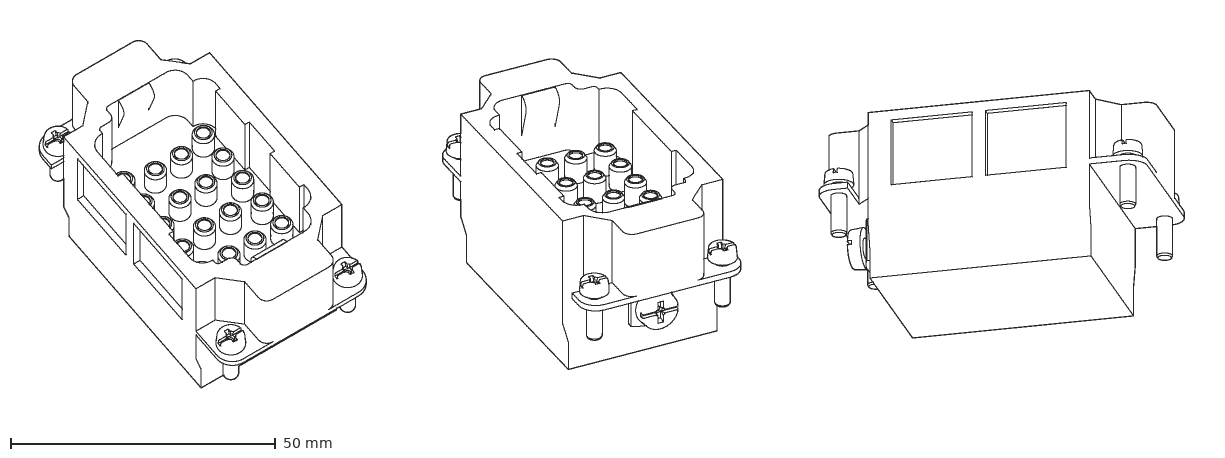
import cadquery as cq
import math

LENGTH = 64.0
WIDTH = 33.8
HEIGHT = 33.2
END_X = LENGTH / 2
SIDE_Y = WIDTH / 2

BODY_LENGTH = 43.2
BODY_END_X = BODY_LENGTH / 2
BASE_WIDTH = 31.35
TAPER_BOTTOM_Z = 6.0
TAPER_TOP_Z = 10.55

TOWER_SIDE_Y = 8.45
TOWER_NECK_X = 25.6
TOWER_FLARE = TOWER_NECK_X - BODY_END_X
TOWER_EDGE_RADIUS = 2.0
FLANGE_BOTTOM_Z = 18.25
FLANGE_THICKNESS = 1.2
FLANGE_TOP_Z = FLANGE_BOTTOM_Z + FLANGE_THICKNESS
FLANGE_CORNER_RADIUS = 3.6

WINDOW_LENGTH = 15.8
WINDOW_HEIGHT = 13.2
WINDOW_GAP = 2.55
WINDOW_TOP_MARGIN = 2.0
WINDOW_DEPTH = 1.5

CAVITY_FLOOR_Z = 18.5
CAVITY_END_X = 22.6
CAVITY_STEP_X = 19.4
CAVITY_INNER_X = 18.0
CAVITY_SIDE_Y = 13.7
BACK_SHOULDER_Y = 10.5
BACK_SHOULDER_RADIUS = 3.0
CAVITY_CORNER_RADIUS = 3.0
FRONT_STEP_Y = -6.65
FRONT_SHOULDER_Y = -10.4
STEP_OUTER_RADIUS = 0.9
STEP_INNER_RADIUS = 1.35
SHOULDER_RADIUS = 0.7

RIB_DEPTH = 1.0
BACK_RIB_LENGTH = 9.55
BACK_RIB_X = 8.9
FRONT_RIB_LENGTH = 16.5

NOSE_WIDTH = 7.05
NOSE_REACH = 1.85
NOSE_BOTTOM_Z = 24.3
NOSE_CREST_Z = 30.4
NOSE_TOP_Z = 33.1

PIN_DIAMETER = 4.2
PIN_TIP_DIAMETER = 3.3
PIN_RECESS_DIAMETER = 2.6
PIN_RECESS_DEPTH = 0.3
PIN_TOP_Z = 23.55
PIN_CHAMFER_HEIGHT = 0.7
OUTER_ROW_Y = 9.2
OUTER_ROW_PITCH = 6.4
OUTER_ROW_COUNT = 5
INNER_ROW_Y = 3.0
INNER_ROW_PITCH = 8.0
INNER_ROW_COUNT = 4
LAST_PIN_X = 12.8

SCREW_X = 28.2
SCREW_Y = 13.5
SCREW_BOTTOM_Z = 10.3
SCREW_DIAMETER = 3.0
SCREW_TIP_DIAMETER = 2.6
SCREW_TIP_HEIGHT = 0.4
SCREW_TOP_Z = 22.9
SCREW_HEAD_HEIGHT = 2.4
SCREW_HEAD_DIAMETER = 5.6
SCREW_HEAD_TOP_DIAMETER = 5.25
CROSS_LENGTH = 3.0
CROSS_WIDTH = 0.9

EARTH_Z = 12.6
EARTH_STEM_DIAMETER = 4.0
EARTH_HEAD_DIAMETER = 8.0
EARTH_HEAD_TOP_DIAMETER = 7.55
EARTH_HEAD_BACK_X = -26.6
EARTH_HEAD_HEIGHT = 2.6
EARTH_CROSS_LENGTH = 4.6
EARTH_CROSS_WIDTH = 1.1
PLATE_SIZE = 8.5
PLATE_BACK_X = -24.1
PLATE_THICKNESS = 1.1
PLATE_BOW = 1.0

SCREW_RIM_HEIGHT = 0.4
SCREW_EDGE_RADIUS = 0.3
SLOT_WIDTH = 0.8
SLOT_DEPTH = 0.9
ARM_DEPTH = 1.15
ARM_END_SLOPE = 0.3
CONE_DEPTH = 1.55
CONE_DIAMETER = 1.9
CONE_BOTTOM_DIAMETER = 1.1


def block(x0, x1, y0, y1, z0, z1):
    """Axis-aligned box between two corners."""
    return cq.Workplane("XY").box(x1 - x0, y1 - y0, z1 - z0, centered=False).translate((x0, y0, z0))


def make_housing():
    """Housing with a narrowed base, constant along X."""
    return (
        cq.Workplane("YZ", origin=(-BODY_END_X, 0, 0))
        .polyline([
            (-BASE_WIDTH / 2, 0),
            (BASE_WIDTH / 2, 0),
            (BASE_WIDTH / 2, TAPER_BOTTOM_Z),
            (SIDE_Y, TAPER_TOP_Z),
            (SIDE_Y, HEIGHT),
            (-SIDE_Y, HEIGHT),
            (-SIDE_Y, TAPER_TOP_Z),
            (-BASE_WIDTH / 2, TAPER_BOTTOM_Z),
        ])
        .close()
        .extrude(BODY_LENGTH)
    )


def make_tower(side):
    """End tower that flares out into the housing; side is -1 or +1 along X."""
    flare_y = TOWER_SIDE_Y + TOWER_FLARE
    tower = (
        cq.Workplane("XY", origin=(0, 0, FLANGE_BOTTOM_Z))
        .polyline([
            (side * BODY_END_X, -flare_y),
            (side * TOWER_NECK_X, -TOWER_SIDE_Y),
            (side * END_X, -TOWER_SIDE_Y),
            (side * END_X, TOWER_SIDE_Y),
            (side * TOWER_NECK_X, TOWER_SIDE_Y),
            (side * BODY_END_X, flare_y),
        ])
        .close()
        .extrude(HEIGHT - FLANGE_BOTTOM_Z)
    )
    outer_face = ">X" if side > 0 else "<X"
    return tower.faces(outer_face).edges("|Z").fillet(TOWER_EDGE_RADIUS)


def make_flange(side, inner_x):
    """Flange across the full width, from inner_x out to the end of the part."""
    x0, x1 = sorted((side * inner_x, side * END_X))
    flange = block(x0, x1, -SIDE_Y, SIDE_Y, FLANGE_BOTTOM_Z, FLANGE_TOP_Z)
    outer_face = ">X" if side > 0 else "<X"
    return flange.faces(outer_face).edges("|Z").fillet(FLANGE_CORNER_RADIUS)


def make_windows():
    """Two label windows side by side on the -Y side."""
    top_z = HEIGHT - WINDOW_TOP_MARGIN
    bottom_z = top_z - WINDOW_HEIGHT
    back_y = -SIDE_Y + WINDOW_DEPTH
    windows = cq.Workplane("XY")
    for center_x in (-(WINDOW_LENGTH + WINDOW_GAP) / 2, (WINDOW_LENGTH + WINDOW_GAP) / 2):
        x0 = center_x - WINDOW_LENGTH / 2
        windows = windows.add(block(x0, x0 + WINDOW_LENGTH, -SIDE_Y, back_y, bottom_z, top_z))
    return windows.combine()


def make_cavity():
    """Contact cavity with stepped corners, less the coding ribs on its long walls."""
    depth = HEIGHT - CAVITY_FLOOR_Z
    shoulder_x = CAVITY_END_X - BACK_SHOULDER_RADIUS
    half = (
        cq.Workplane("XY", origin=(0, 0, CAVITY_FLOOR_Z))
        .moveTo(0, CAVITY_SIDE_Y)
        .lineTo(CAVITY_INNER_X - CAVITY_CORNER_RADIUS, CAVITY_SIDE_Y)
        .radiusArc((CAVITY_INNER_X, CAVITY_SIDE_Y - CAVITY_CORNER_RADIUS), CAVITY_CORNER_RADIUS)
        .lineTo(CAVITY_INNER_X, BACK_SHOULDER_Y)
        .lineTo(shoulder_x, BACK_SHOULDER_Y)
        .radiusArc((CAVITY_END_X, BACK_SHOULDER_Y - BACK_SHOULDER_RADIUS), BACK_SHOULDER_RADIUS)
        .lineTo(CAVITY_END_X, FRONT_STEP_Y + STEP_OUTER_RADIUS)
        .radiusArc((CAVITY_END_X - STEP_OUTER_RADIUS, FRONT_STEP_Y), STEP_OUTER_RADIUS)
        .lineTo(CAVITY_STEP_X + STEP_INNER_RADIUS, FRONT_STEP_Y)
        .radiusArc((CAVITY_STEP_X, FRONT_STEP_Y - STEP_INNER_RADIUS), -STEP_INNER_RADIUS)
        .lineTo(CAVITY_STEP_X, FRONT_SHOULDER_Y + SHOULDER_RADIUS)
        .radiusArc((CAVITY_STEP_X - SHOULDER_RADIUS, FRONT_SHOULDER_Y), SHOULDER_RADIUS)
        .lineTo(CAVITY_INNER_X, FRONT_SHOULDER_Y)
        .lineTo(CAVITY_INNER_X, -CAVITY_SIDE_Y + CAVITY_CORNER_RADIUS)
        .radiusArc((CAVITY_INNER_X - CAVITY_CORNER_RADIUS, -CAVITY_SIDE_Y), CAVITY_CORNER_RADIUS)
        .lineTo(0, -CAVITY_SIDE_Y)
        .close()
        .extrude(depth)
    )
    cavity = half.union(half.mirror("YZ"))

    rib_y = CAVITY_SIDE_Y - RIB_DEPTH
    for center_x in (-BACK_RIB_X, BACK_RIB_X):
        x0 = center_x - BACK_RIB_LENGTH / 2
        x1 = center_x + BACK_RIB_LENGTH / 2
        cavity = cavity.cut(block(x0, x1, rib_y, CAVITY_SIDE_Y, CAVITY_FLOOR_Z, HEIGHT))
    x1 = FRONT_RIB_LENGTH / 2
    return cavity.cut(block(-x1, x1, -CAVITY_SIDE_Y, -rib_y, CAVITY_FLOOR_Z, HEIGHT))


def make_nose(side):
    """Locking nose: sloped underside, rounded top running back into the end wall."""
    wall_x = side * CAVITY_END_X
    crest_x = side * (CAVITY_END_X - NOSE_REACH)
    arc_offset = math.sqrt(0.5)
    round_middle = (
        wall_x - side * NOSE_REACH * arc_offset,
        NOSE_CREST_Z + (NOSE_TOP_Z - NOSE_CREST_Z) * arc_offset,
    )
    return (
        cq.Workplane("XZ")
        .moveTo(wall_x, NOSE_BOTTOM_Z)
        .lineTo(crest_x, NOSE_CREST_Z)
        .threePointArc(round_middle, (wall_x, NOSE_TOP_Z))
        .close()
        .extrude(NOSE_WIDTH / 2, both=True)
    )


def make_pin():
    """Contact pin on the Z axis with a coned, slightly recessed tip."""
    shoulder_z = PIN_TOP_Z - PIN_CHAMFER_HEIGHT
    recess_z = PIN_TOP_Z - PIN_RECESS_DEPTH
    return (
        cq.Workplane("XZ")
        .polyline([
            (0, CAVITY_FLOOR_Z),
            (PIN_DIAMETER / 2, CAVITY_FLOOR_Z),
            (PIN_DIAMETER / 2, shoulder_z),
            (PIN_TIP_DIAMETER / 2, PIN_TOP_Z),
            (PIN_RECESS_DIAMETER / 2, PIN_TOP_Z),
            (PIN_RECESS_DIAMETER / 2, recess_z),
            (0, recess_z),
        ])
        .close()
        .revolve(360, (0, 0, 0), (0, 1, 0))
    )


def pin_positions():
    """Centers of the two outer and two inner rows, all ending at the same X."""
    rows = (
        (OUTER_ROW_Y, OUTER_ROW_COUNT, OUTER_ROW_PITCH),
        (INNER_ROW_Y, INNER_ROW_COUNT, INNER_ROW_PITCH),
    )
    return [
        (LAST_PIN_X - index * pitch, side * row_y)
        for row_y, count, pitch in rows
        for index in range(count)
        for side in (-1, 1)
    ]


def make_screw_head(bottom_diameter, top_diameter, height, cross_length, cross_width):
    """Tapered screw head, base on Z = 0, with a slot along Y and a cross recess."""
    head = (
        cq.Workplane("XZ")
        .polyline([
            (0, 0),
            (bottom_diameter / 2, 0),
            (bottom_diameter / 2, SCREW_RIM_HEIGHT),
            (top_diameter / 2, height),
            (0, height),
        ])
        .close()
        .revolve(360, (0, 0, 0), (0, 1, 0))
        .faces(">Z").edges().fillet(SCREW_EDGE_RADIUS)
    )
    slot = block(
        -SLOT_WIDTH / 2, SLOT_WIDTH / 2, -bottom_diameter, bottom_diameter, height - SLOT_DEPTH, height
    )
    arm_z = height - ARM_DEPTH
    arm_bottom = cross_length / 2 - ARM_END_SLOPE
    arms = (
        cq.Workplane("XZ")
        .polyline([
            (-cross_length / 2, height),
            (-arm_bottom, arm_z),
            (arm_bottom, arm_z),
            (cross_length / 2, height),
        ])
        .close()
        .extrude(cross_width / 2, both=True)
    )
    cone = (
        cq.Workplane("XY", origin=(0, 0, height - CONE_DEPTH))
        .circle(CONE_BOTTOM_DIAMETER / 2)
        .workplane(offset=CONE_DEPTH)
        .circle(CONE_DIAMETER / 2)
        .loft()
    )
    return head.cut(slot).cut(arms).cut(cone)


def make_mounting_screw():
    """Mounting screw on the Z axis; its head stands clear above the flange."""
    head_z = SCREW_TOP_Z - SCREW_HEAD_HEIGHT
    shank = (
        cq.Workplane("XZ")
        .polyline([
            (0, SCREW_BOTTOM_Z),
            (SCREW_TIP_DIAMETER / 2, SCREW_BOTTOM_Z),
            (SCREW_DIAMETER / 2, SCREW_BOTTOM_Z + SCREW_TIP_HEIGHT),
            (SCREW_DIAMETER / 2, head_z),
            (0, head_z),
        ])
        .close()
        .revolve(360, (0, 0, 0), (0, 1, 0))
    )
    head = make_screw_head(
        SCREW_HEAD_DIAMETER, SCREW_HEAD_TOP_DIAMETER, SCREW_HEAD_HEIGHT, CROSS_LENGTH, CROSS_WIDTH
    )
    return shank.union(head.translate((0, 0, head_z)))


def make_earth_screw():
    """Earth screw pointing out along -X, with its slot along Y."""
    stem = (
        cq.Workplane("YZ", origin=(EARTH_HEAD_BACK_X, 0, EARTH_Z))
        .circle(EARTH_STEM_DIAMETER / 2)
        .extrude(-BODY_END_X - EARTH_HEAD_BACK_X)
    )
    head = (
        make_screw_head(
            EARTH_HEAD_DIAMETER,
            EARTH_HEAD_TOP_DIAMETER,
            EARTH_HEAD_HEIGHT,
            EARTH_CROSS_LENGTH,
            EARTH_CROSS_WIDTH,
        )
        .rotate((0, 0, 0), (0, 1, 0), -90)
        .translate((EARTH_HEAD_BACK_X, 0, EARTH_Z))
    )
    return stem.union(head)


def make_clamp_plate():
    """Square clamp plate of even thickness, bowed away from the housing."""
    front_x = PLATE_BACK_X - PLATE_THICKNESS
    half = PLATE_SIZE / 2
    return (
        cq.Workplane("XY", origin=(0, 0, EARTH_Z))
        .moveTo(PLATE_BACK_X, -half)
        .lineTo(front_x, -half)
        .threePointArc((front_x - PLATE_BOW, 0), (front_x, half))
        .lineTo(PLATE_BACK_X, half)
        .threePointArc((PLATE_BACK_X - PLATE_BOW, 0), (PLATE_BACK_X, -half))
        .close()
        .extrude(half, both=True)
    )


result = (
    make_housing()
    .union(make_tower(-1))
    .union(make_tower(1))
    .union(make_flange(-1, TOWER_NECK_X))
    .union(make_flange(1, BODY_END_X))
    .cut(make_cavity())
    .cut(make_windows())
    .union(make_nose(-1))
    .union(make_nose(1))
)

pin = make_pin()
for pin_x, pin_y in pin_positions():
    result = result.union(pin.translate((pin_x, pin_y, 0)))

mounting_screw = make_mounting_screw()
for screw_x in (-SCREW_X, SCREW_X):
    for screw_y in (-SCREW_Y, SCREW_Y):
        result = result.union(mounting_screw.translate((screw_x, screw_y, 0)))

result = result.union(make_earth_screw()).union(make_clamp_plate())